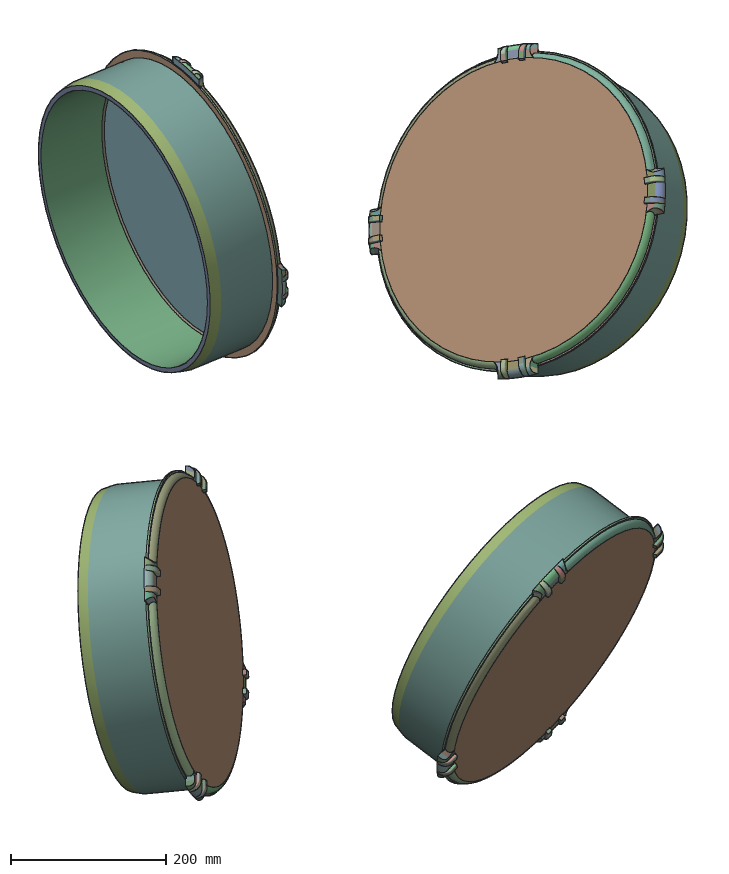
import cadquery as cq
import math

total_depth = 111.19
rib_height = 4.6
handle_radius = 440.76 / 2
lip_radius = 420.92 / 2

cup_radius = 200.2
mouth_radius = 196.5
mouth_taper_length = 15.0
bore_radius = 190.0
floor_radius = 187.8
floor_cone_length = 2.5
cup_inner_depth = 97.0

rim_thickness = 12.0
lip_thickness = 2.7
lip_step = 2.5
rim_round = 9.0

handle_count = 4
handle_width = 60.0
handle_back_width = 48.0
handle_foot_half_width = 38.0
handle_back_offset = 0.3
handle_face_offset = 1.3
rib_width = 8.0
rib_angle = 3.75
rib_inner_radius = 196.8
rib_end_slant = 1.5
rib_round = 13.0
rib_edge_fillet = 1.0

back_y = total_depth / 2
mouth_y = -back_y
rim_back_y = back_y - rib_height
rim_face_y = rim_back_y - rim_thickness
lip_back_y = rim_face_y + lip_thickness
handle_face_y = rim_face_y + handle_face_offset
floor_y = mouth_y + cup_inner_depth
handle_back_y = rim_back_y - handle_back_offset
rim_radius = lip_radius - lip_step


def revolve_about_y(profile):
    return profile.close().revolve(360, (0, 0, 0), (0, 1, 0))


def rounded_disc(radius, face_y, disc_back_y, corner):
    """Solid disc whose outer back edge is a quarter round."""
    slant = corner * math.sqrt(0.5)
    profile = (
        cq.Workplane("XY")
        .moveTo(0, face_y)
        .lineTo(radius, face_y)
        .lineTo(radius, disc_back_y - corner)
        .threePointArc(
            (radius - corner + slant, disc_back_y - corner + slant),
            (radius - corner, disc_back_y),
        )
        .lineTo(0, disc_back_y)
    )
    return revolve_about_y(profile)


def make_cup():
    profile = (
        cq.Workplane("XY")
        .moveTo(0, rim_back_y)
        .lineTo(cup_radius, rim_back_y)
        .lineTo(cup_radius, mouth_y + mouth_taper_length)
        .lineTo(mouth_radius, mouth_y)
        .lineTo(bore_radius, mouth_y)
        .lineTo(bore_radius, floor_y - floor_cone_length)
        .lineTo(floor_radius, floor_y)
        .lineTo(0, floor_y)
    )
    return revolve_about_y(profile)


def make_bore_core():
    return cq.Workplane("XZ", origin=(0, back_y, 0)).circle(bore_radius).extrude(total_depth)


def make_rim():
    ring = rounded_disc(rim_radius, rim_face_y, rim_back_y, rim_round)
    lip = cq.Workplane("XZ", origin=(0, lip_back_y, 0)).circle(lip_radius).extrude(lip_thickness)
    return ring.union(lip).cut(make_bore_core())


def handle_section(width, root_radius):
    """Points of one handle cross-section, with fillets that touch a rim circle of root_radius."""
    half_width = width / 2
    fillet = handle_foot_half_width - half_width
    fillet_z = math.sqrt((root_radius + fillet) ** 2 - handle_foot_half_width ** 2)
    root_turn = math.atan2(fillet_z, handle_foot_half_width)
    root_x = root_radius * math.cos(root_turn)
    root_z = root_radius * math.sin(root_turn)
    arc_x = handle_foot_half_width - fillet * math.cos(root_turn / 2)
    arc_z = fillet_z - fillet * math.sin(root_turn / 2)
    return half_width, fillet_z, (arc_x, arc_z), (root_x, root_z)


def draw_handle_section(plane, width, root_radius):
    half_width, fillet_z, (arc_x, arc_z), (root_x, root_z) = handle_section(width, root_radius)
    return (
        plane
        .moveTo(-root_x, bore_radius)
        .lineTo(-root_x, root_z)
        .threePointArc((-arc_x, arc_z), (-half_width, fillet_z))
        .lineTo(-half_width, handle_radius)
        .lineTo(half_width, handle_radius)
        .lineTo(half_width, fillet_z)
        .threePointArc((arc_x, arc_z), (root_x, root_z))
        .lineTo(root_x, bore_radius)
        .close()
    )


def make_handle():
    """Handle on the +Z side, flared into the rim by concave root fillets that widen to the back."""
    face_plane = cq.Workplane("XZ", origin=(0, handle_face_y, 0))
    face_section = draw_handle_section(face_plane, handle_width, rim_radius)
    back_plane = face_section.workplane(offset=handle_face_y - handle_back_y)
    back_section = draw_handle_section(back_plane, handle_back_width, rim_radius - rim_round)
    block = back_section.loft(ruled=True)
    envelope = rounded_disc(handle_radius, handle_face_y, handle_back_y, rim_round)
    return block.intersect(envelope).cut(make_bore_core())


def make_rib():
    """Radial rib wrapped over the back of a handle, on the +Z axis."""
    slant = rib_round * math.sqrt(0.5)
    return (
        cq.Workplane("YZ", origin=(-rib_width / 2, 0, 0))
        .moveTo(handle_face_y, rib_inner_radius)
        .lineTo(rim_back_y, rib_inner_radius)
        .lineTo(back_y, rib_inner_radius + rib_end_slant)
        .lineTo(back_y, handle_radius - rib_round)
        .threePointArc(
            (back_y - rib_round + slant, handle_radius - rib_round + slant),
            (back_y - rib_round, handle_radius),
        )
        .lineTo(handle_face_y, handle_radius)
        .close()
        .extrude(rib_width)
        .faces(">Y")
        .edges("|Z")
        .fillet(rib_edge_fillet)
    )


def spin(shape, angle):
    return shape.rotate((0, 0, 0), (0, 1, 0), angle)


result = make_cup().union(make_rim())
handle = make_handle()
for side in (-1, 1):
    handle = handle.union(spin(make_rib(), side * rib_angle))
for index in range(handle_count):
    result = result.union(spin(handle, index * 360 / handle_count))